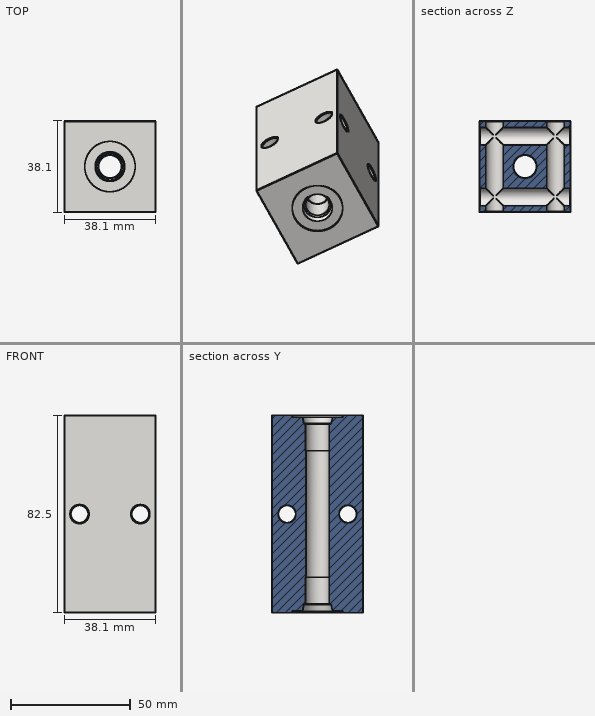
import cadquery as cq
import math

WIDTH = 38.1
HEIGHT = 82.55
EDGE_BREAK = 0.25

BORE_DIAMETER = 9.525

TAP_DIAMETER = 9.8
TAP_DEPTH = 14.0
SPOTFACE_DIAMETER = 21.05
SPOTFACE_DEPTH = 0.8
SEAL_DIAMETER = 12.4
SEAL_DEPTH = 2.6
SEAL_HALF_ANGLE = 12.0
LEAD_IN_HALF_ANGLE = 59.0

MOUNT_DIAMETER = 7.2
MOUNT_SPACING = 25.4
MOUNT_CHAMFER = 0.4


def make_block():
    return cq.Workplane("XY").box(WIDTH, WIDTH, HEIGHT).edges().chamfer(EDGE_BREAK)


def make_bore():
    return cq.Workplane("XY").circle(BORE_DIAMETER / 2).extrude(HEIGHT / 2, both=True)


def make_top_port():
    """Spotface, tapered O-ring seat, lead-in cone and tap-drill bore, revolved about Z."""
    tap_radius = TAP_DIAMETER / 2
    seal_radius = SEAL_DIAMETER / 2
    seat_radius = seal_radius - SEAL_DEPTH * math.tan(math.radians(SEAL_HALF_ANGLE))
    lead_in_depth = (seat_radius - tap_radius) / math.tan(math.radians(LEAD_IN_HALF_ANGLE))

    top = HEIGHT / 2
    spotface_z = top - SPOTFACE_DEPTH
    seat_z = spotface_z - SEAL_DEPTH
    lead_in_z = seat_z - lead_in_depth
    tap_z = spotface_z - TAP_DEPTH
    return (
        cq.Workplane("XZ")
        .moveTo(0, top)
        .lineTo(SPOTFACE_DIAMETER / 2, top)
        .lineTo(SPOTFACE_DIAMETER / 2, spotface_z)
        .lineTo(seal_radius, spotface_z)
        .lineTo(seat_radius, seat_z)
        .lineTo(tap_radius, lead_in_z)
        .lineTo(tap_radius, tap_z)
        .lineTo(0, tap_z)
        .close()
        .revolve(360, (0, 0, 0), (0, 1, 0))
    )


def make_mount_hole():
    """Through hole along X, chamfered at both mouths, offset to the +Y side."""
    radius = MOUNT_DIAMETER / 2
    mouth_radius = radius + MOUNT_CHAMFER
    face_x = WIDTH / 2
    throat_x = face_x - MOUNT_CHAMFER
    return (
        cq.Workplane("XY")
        .moveTo(-face_x, 0)
        .lineTo(-face_x, mouth_radius)
        .lineTo(-throat_x, radius)
        .lineTo(throat_x, radius)
        .lineTo(face_x, mouth_radius)
        .lineTo(face_x, 0)
        .close()
        .revolve(360, (0, 0, 0), (1, 0, 0))
        .translate((0, MOUNT_SPACING / 2, 0))
    )


top_port = make_top_port()
bottom_port = top_port.mirror("XY")
result = make_block().cut(make_bore()).cut(top_port).cut(bottom_port)

mount_hole = make_mount_hole()
for quarter_turn in range(4):
    result = result.cut(mount_hole.rotate((0, 0, 0), (0, 0, 1), 90 * quarter_turn))